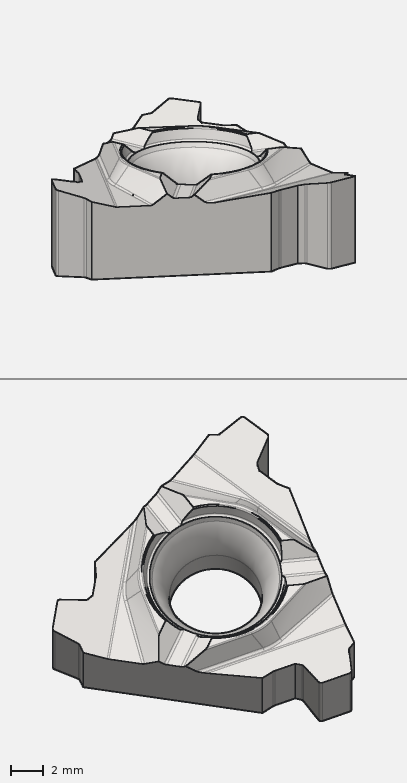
import math

import cadquery as cq

LOBES = 3
LOBE_ANGLE = 360 / LOBES
INRADIUS = 6.35
TOP_Z = 5.84
REACH = 20.0

TIP_Y = 9.28
TIP_LEFT_X = -5.39
TIP_RIGHT_X = -3.3
FLANK_ANGLE = 15.0
LEFT_ROOT_Y = 7.53
LEFT_SHOULDER_Y = 7.2
RIGHT_ROOT_Y = 7.53
RIGHT_SHOULDER = (-2.44, 7.25)
RELIEF_START = (-1.03, 7.25)
RELIEF_END_X = -0.21
TIP_RADIUS = 0.2
ROOT_RADIUS = 0.2
RELIEF_RADIUS = 0.6

FLOOR_Z = 4.64
RAKE_ANGLE = 15.0
RAKE_START_Y = 5.68
RAKE_BLEND_RADIUS = 0.45

WALL_BEND_RADIUS = 3.0
WALL_FOOT_FILLET = 0.23
WALL_TOP_FILLET = 0.115
WALL_FOOT_Y = 5.45
WALL_FOOT_CORNER_X = -1.7
WALL_FOOT_ANGLE = 23.0
WALL_TOP_Y = 4.68
WALL_TOP_CORNER_X = -1.3
WALL_TOP_ANGLE = 29.0

NOTCH_DIRECTION = 45.0
NOTCH_OFFSET = 0.1
NOTCH_FLOOR_Z = 5.05
NOTCH_FLOOR_WIDTH = 1.02
NOTCH_TOP_WIDTH = 3.06
NOTCH_CORNER_RADIUS = 0.29

BORE_RADIUS = 5.7 / 2
BOWL_BOTTOM_Z = 2.05
BOWL_RADIUS = 4.0
BOWL_RIM_RADIUS = 3.9
SEAT_Z = NOTCH_FLOOR_Z
SEAT_INNER_RADIUS = 4.05
SEAT_OUTER_RADIUS = 4.2
SEAT_TOP_RADIUS = 4.46
SEAT_FILLET = 0.18
MOUTH_FILLET = 0.1


def turned(point, angle):
    """Rotate a plan point about the part axis by an angle in degrees."""
    a = math.radians(angle)
    x, y = point
    return (x * math.cos(a) - y * math.sin(a), x * math.sin(a) + y * math.cos(a))


def on_each_lobe(shape):
    """Copies of a shape made for the +Y lobe, one for each lobe."""
    return [shape.rotate((0, 0, 0), (0, 0, 1), -i * LOBE_ANGLE) for i in range(LOBES)]


def lobe_corners():
    """Plan corners of the +Y lobe, each with its rounding radius (0 for sharp).

    They run from the left side face, around the tooth, to the right side face.
    """
    flank = math.tan(math.radians(FLANK_ANGLE))
    side_slope = math.radians(LOBE_ANGLE - 90)
    left_root_x = TIP_LEFT_X - (TIP_Y - LEFT_ROOT_Y) * flank
    right_root_x = TIP_RIGHT_X + (TIP_Y - RIGHT_ROOT_Y) * flank
    relief_end_y = INRADIUS / math.cos(side_slope) - RELIEF_END_X * math.tan(side_slope)
    return [
        ((-INRADIUS, LEFT_SHOULDER_Y), 0),
        ((left_root_x, LEFT_ROOT_Y), ROOT_RADIUS),
        ((TIP_LEFT_X, TIP_Y), TIP_RADIUS),
        ((TIP_RIGHT_X, TIP_Y), TIP_RADIUS),
        ((right_root_x, RIGHT_ROOT_Y), ROOT_RADIUS),
        (RIGHT_SHOULDER, 0),
        (RELIEF_START, RELIEF_RADIUS),
        ((RELIEF_END_X, relief_end_y), 0),
    ]


def make_body():
    """Upright prism of the whole plan outline with its rounded corners."""
    corners = [
        (turned(point, -i * LOBE_ANGLE), radius)
        for i in range(LOBES)
        for point, radius in lobe_corners()
    ]
    body = cq.Workplane("XY").polyline([point for point, _ in corners]).close().extrude(TOP_Z)
    for point, radius in corners:
        if radius > 0:
            nearest = cq.selectors.NearestToPointSelector((*point, TOP_Z / 2))
            body = body.edges("|Z").edges(nearest).fillet(radius)
    return body


def wall_outline(plane, y, corner_x, angle):
    """Closed plan area behind the chip wall: straight, rounded bend, slanted run."""
    a = math.radians(angle)
    tangent = WALL_BEND_RADIUS * math.tan(a / 2)
    bend_end = (corner_x - tangent * math.cos(a), y - tangent * math.sin(a))
    far_end = (-REACH, y - (corner_x + REACH) * math.tan(a))
    return (
        plane.moveTo(REACH, y)
        .lineTo(corner_x + tangent, y)
        .tangentArcPoint(bend_end, relative=False)
        .lineTo(*far_end)
        .lineTo(-REACH, -REACH)
        .lineTo(REACH, -REACH)
        .close()
    )


def wall_edges(z):
    """Selector for the three wall edges at one height."""
    margin = 0.01
    low_corner = (-REACH + margin, -REACH + margin, z - margin)
    high_corner = (REACH - margin, WALL_FOOT_Y + margin, z + margin)
    return cq.selectors.BoxSelector(low_corner, high_corner)


def make_chip_cutter():
    """Space above the rake face and chip floor, outside the boss wall."""
    rake_rise = (REACH - RAKE_START_Y) * math.tan(math.radians(RAKE_ANGLE))
    space = (
        cq.Workplane("YZ", origin=(-REACH, 0, 0))
        .moveTo(0, FLOOR_Z)
        .lineTo(RAKE_START_Y, FLOOR_Z)
        .lineTo(REACH, FLOOR_Z + rake_rise)
        .lineTo(0, FLOOR_Z + rake_rise)
        .close()
        .extrude(2 * REACH)
    )
    valley = cq.selectors.NearestToPointSelector((0, RAKE_START_Y, FLOOR_Z))
    space = space.edges(valley).fillet(RAKE_BLEND_RADIUS)

    foot = wall_outline(
        cq.Workplane("XY", origin=(0, 0, FLOOR_Z)), WALL_FOOT_Y, WALL_FOOT_CORNER_X, WALL_FOOT_ANGLE
    )
    boss = wall_outline(
        foot.workplane(offset=TOP_Z - FLOOR_Z), WALL_TOP_Y, WALL_TOP_CORNER_X, WALL_TOP_ANGLE
    ).loft(ruled=True)
    boss = boss.edges(wall_edges(TOP_Z)).fillet(WALL_TOP_FILLET)
    return space.cut(boss).edges(wall_edges(FLOOR_Z)).fillet(WALL_FOOT_FILLET)


def make_notch_cutter():
    """Trapezoid channel running outward from the bore along one radial direction."""
    half_floor = NOTCH_FLOOR_WIDTH / 2
    half_top = NOTCH_TOP_WIDTH / 2
    notch = (
        cq.Workplane("YZ")
        .moveTo(NOTCH_OFFSET - half_floor, NOTCH_FLOOR_Z)
        .lineTo(NOTCH_OFFSET + half_floor, NOTCH_FLOOR_Z)
        .lineTo(NOTCH_OFFSET + half_top, TOP_Z)
        .lineTo(NOTCH_OFFSET - half_top, TOP_Z)
        .close()
        .extrude(REACH)
        .faces("<Z")
        .edges("|X")
        .fillet(NOTCH_CORNER_RADIUS)
    )
    return notch.rotate((0, 0, 0), (0, 0, 1), NOTCH_DIRECTION)


def make_bore_cutter():
    """Bore, convex bowl blending into it, narrow seat and conical mouth."""
    centre_r = BORE_RADIUS + BOWL_RADIUS

    def bowl_z(r):
        return BOWL_BOTTOM_Z + math.sqrt(BOWL_RADIUS**2 - (centre_r - r) ** 2)

    mid_r = (BORE_RADIUS + BOWL_RIM_RADIUS) / 2
    second_largest = cq.selectors.RadiusNthSelector(-2)
    return (
        cq.Workplane("XZ")
        .lineTo(BORE_RADIUS, 0)
        .lineTo(BORE_RADIUS, BOWL_BOTTOM_Z)
        .threePointArc((mid_r, bowl_z(mid_r)), (BOWL_RIM_RADIUS, bowl_z(BOWL_RIM_RADIUS)))
        .lineTo(SEAT_INNER_RADIUS, SEAT_Z)
        .lineTo(SEAT_OUTER_RADIUS, SEAT_Z)
        .lineTo(SEAT_TOP_RADIUS, TOP_Z)
        .lineTo(0, TOP_Z)
        .close()
        .revolve(360, (0, 0, 0), (0, 1, 0))
        .edges(second_largest)
        .fillet(SEAT_FILLET)
    )


def round_mouth(part):
    """Round the rim where the conical mouth meets the boss top."""
    rim_point = (0, SEAT_TOP_RADIUS, TOP_Z)
    rim = part.edges("%CIRCLE").edges(cq.selectors.NearestToPointSelector(rim_point))
    return rim.fillet(MOUTH_FILLET)


result = make_body()
for chip_cutter in on_each_lobe(make_chip_cutter()):
    result = result.cut(chip_cutter)
result = result.cut(make_bore_cutter())
result = round_mouth(result)
for notch_cutter in on_each_lobe(make_notch_cutter()):
    result = result.cut(notch_cutter)